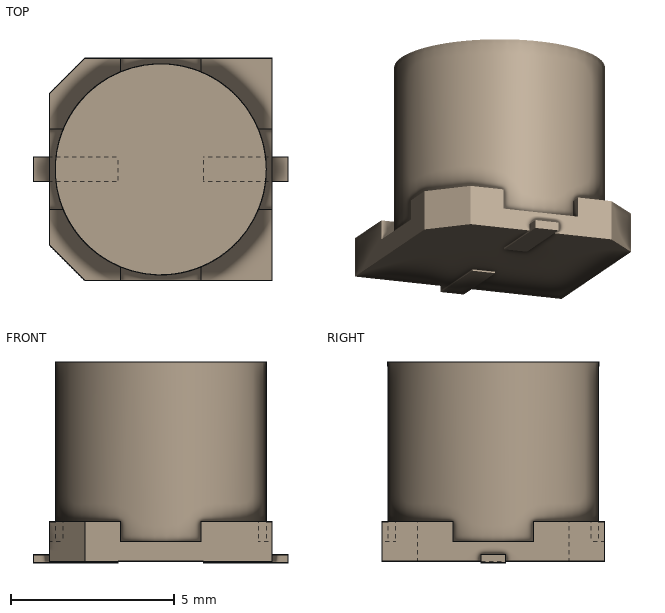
import cadquery as cq

lead_span = 7.8
base_side = 6.81
total_height = 6.15

base_bottom = 0.05
base_top = 1.26
corner_chamfer = 1.085
notch_width = 2.46
notch_floor = 0.655

can_diameter = 6.46

lead_width = 0.76
lead_thickness = 0.25
lead_gap = 2.605


def block(size_x, size_y, bottom, top, center_x=0):
    """Box centred on the X axis at center_x, between two heights."""
    return (
        cq.Workplane("XY", origin=(center_x, 0, bottom))
        .rect(size_x, size_y)
        .extrude(top - bottom)
    )


def make_base():
    """Square plate with two bevelled -X corners and a notch midway along each side."""
    plate = block(base_side, base_side, base_bottom, base_top)
    plate = plate.edges("|Z and <X").chamfer(corner_chamfer)
    notch_along_x = block(base_side, notch_width, notch_floor, base_top)
    notch_along_y = block(notch_width, base_side, notch_floor, base_top)
    return plate.cut(notch_along_x).cut(notch_along_y)


def make_can():
    """Cylinder that stands on the notch floor, inside the four raised corners."""
    return (
        cq.Workplane("XY", origin=(0, 0, notch_floor))
        .circle(can_diameter / 2)
        .extrude(total_height - notch_floor)
    )


def make_lead(side):
    """Flat strip from under the base out past its edge; side is -1 or +1 along X."""
    length = (lead_span - lead_gap) / 2
    center_x = side * (lead_gap + length) / 2
    return block(length, lead_width, 0, lead_thickness, center_x)


result = make_base().union(make_can())
for side in (-1, 1):
    result = result.union(make_lead(side))